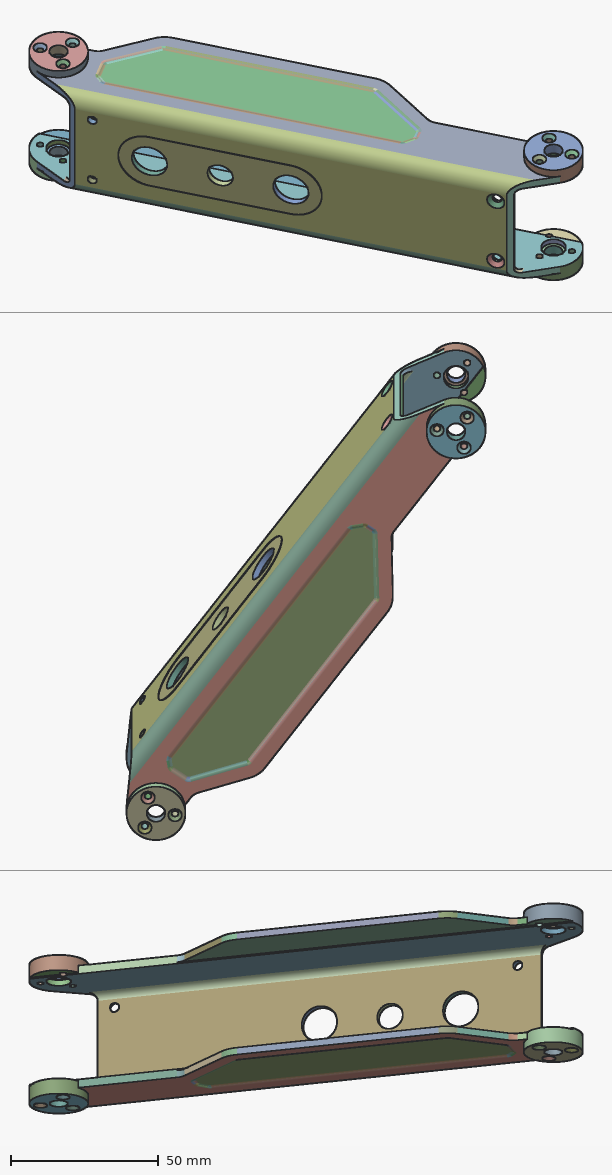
import cadquery as cq
import math

flange_top = 22.0
flange_thickness = 3.0
gusset_thickness = 2.5
web_thickness = 2.5
bend_radius = 5.0
inner_bend_radius = bend_radius - web_thickness
web_face_y = -18.0
rear_edge_y = 21.0

pivot_x = 87.5
boss_radius = 10.0
boss_top = 25.0
boss_thickness = 6.0
pivot_hole_diameter = 6.2
bearing_seat_diameter = 8.4
bearing_seat_depth = 2.0
screw_circle_radius = 6.5
screw_count = 3
screw_hole_diameter = 2.2
screw_head_diameter = 4.6
countersink_angle = 90.0
end_x = pivot_x + boss_radius

end_slant = math.radians(30.0)
gusset_center_x = -17.65
gusset_half_length = 39.05
gusset_slope = 0.75
left_shoulder_y = 7.0
right_shoulder_y = 5.3
gusset_corner_radius = 10.0
shoulder_radius = 5.0

notch_x = 78.5

panel_depth = 0.5
panel_rim_width = 1.8
panel_wall_taper = 60.0
panel_blend_radius = 1.7
panel_corner_radius = 2.5
panel_rear_y = 16.3
panel_front_y = -8.4
panel_half_rear_length = 37.6
panel_left_x = -73.1
panel_right_x = 40.9
panel_left_bevel = 3.2
panel_right_bevel = 4.1

port_spacing = 25.0
port_center_x = -25.0
outer_port_diameter = 12.5
middle_port_diameter = 9.0
port_recess_width = 22.0
port_recess_depth = 0.2
mount_hole_z = 13.5
mount_hole_diameter = 3.2
mount_head_diameter = 6.2
plain_mount_x = -70.2
countersunk_mount_x = 72.5


def block(x_range, y_range, half_height):
    """Box over the given X and Y ranges, centred on Z = 0."""
    x_start, x_end = x_range
    y_start, y_end = y_range
    return (
        cq.Workplane("XY")
        .box(x_end - x_start, y_end - y_start, 2 * half_height, centered=(False, False, True))
        .translate((x_start, y_start, 0))
    )


def channel():
    """Straight U channel, open towards +Y."""
    whole_length = (-end_x, end_x)
    outer = block(whole_length, (web_face_y, rear_edge_y), flange_top)
    outer = outer.edges("|X and <Y").fillet(bend_radius)
    inner = block(
        whole_length, (web_face_y + web_thickness, rear_edge_y), flange_top - flange_thickness
    )
    inner = inner.edges("|X and <Y").fillet(inner_bend_radius)
    return outer.cut(inner)


def gusset_gap():
    """Block that leaves the flanges and bosses thinner behind the flange strips."""
    return block((-end_x, end_x), (right_shoulder_y, rear_edge_y), flange_top - gusset_thickness)


def flange_outline():
    """Plan shape of the flanges as a prism: gusset, slanted web ends, and ends under the bosses.

    The slanted ends run on as tangents of the bosses, which give the flanges their round ends.
    """
    tangent_x = pivot_x + boss_radius * math.sin(end_slant)
    tangent_y = -boss_radius * math.cos(end_slant)
    web_end_x = tangent_x - (tangent_y - web_face_y) / math.tan(end_slant)
    left_corner_x = gusset_center_x - gusset_half_length
    right_corner_x = gusset_center_x + gusset_half_length
    left_foot = (left_corner_x - (rear_edge_y - left_shoulder_y) / gusset_slope, left_shoulder_y)
    right_foot = (right_corner_x + (rear_edge_y - right_shoulder_y) / gusset_slope, right_shoulder_y)
    prism = (
        cq.Workplane("XY")
        .moveTo(-web_end_x, web_face_y)
        .lineTo(web_end_x, web_face_y)
        .lineTo(tangent_x, tangent_y)
        .lineTo(pivot_x, 0)
        .lineTo(pivot_x, right_shoulder_y)
        .lineTo(*right_foot)
        .lineTo(right_corner_x, rear_edge_y)
        .lineTo(left_corner_x, rear_edge_y)
        .lineTo(*left_foot)
        .lineTo(-pivot_x, left_shoulder_y)
        .lineTo(-pivot_x, 0)
        .lineTo(-tangent_x, tangent_y)
        .close()
        .extrude(flange_top, both=True)
    )
    prism = prism.edges("|Z and >Y").fillet(gusset_corner_radius)
    for foot in (left_foot, right_foot):
        foot_edge = cq.selectors.NearestToPointSelector((*foot, 0))
        prism = prism.edges(foot_edge).fillet(shoulder_radius)
    return prism


def end_notches():
    """Blocks that square off both web ends between the flanges."""
    right = block((notch_x, end_x), (web_face_y, rear_edge_y), flange_top - flange_thickness)
    right = right.edges("|Y and <X").fillet(inner_bend_radius)
    return right.union(right.mirror("YZ"))


def at_both_pivots():
    """Workplane on the boss tops with a point on each pivot axis."""
    return cq.Workplane("XY", origin=(0, 0, boss_top)).pushPoints([(-pivot_x, 0), (pivot_x, 0)])


def screw_positions():
    """Screw points around both pivots, one of each set on the outer side of the boss."""
    points = []
    for side in (-1, 1):
        for index in range(screw_count):
            angle = 2 * math.pi * index / screw_count
            x = side * (pivot_x + screw_circle_radius * math.cos(angle))
            points.append((x, screw_circle_radius * math.sin(angle)))
    return points


def add_bosses(part):
    """Pivot discs with a pivot hole, an inner bearing seat and a ring of countersunk screw holes."""
    part = part.union(at_both_pivots().circle(boss_radius).extrude(-boss_thickness))
    part = part.cut(gusset_gap())
    part = part.cut(at_both_pivots().circle(pivot_hole_diameter / 2).extrude(-boss_thickness))
    bearing_seats = at_both_pivots().circle(bearing_seat_diameter / 2).extrude(-boss_thickness)
    seat_floor = boss_thickness - bearing_seat_depth
    part = part.cut(bearing_seats.cut(at_both_pivots().circle(boss_radius).extrude(-seat_floor)))
    return (
        part.faces(">Z")
        .workplane(origin=(0, 0, boss_top))
        .pushPoints(screw_positions())
        .cskHole(screw_hole_diameter, screw_head_diameter, countersink_angle, depth=boss_thickness)
    )


def panel_corners():
    """Corners of the panel rim; its slanted sides run parallel to the gusset slopes."""
    rear_left_x = gusset_center_x - panel_half_rear_length
    rear_right_x = gusset_center_x + panel_half_rear_length
    return [
        (rear_left_x, panel_rear_y),
        (rear_right_x, panel_rear_y),
        (panel_right_x, panel_rear_y - (panel_right_x - rear_right_x) * gusset_slope),
        (panel_right_x, panel_front_y + panel_right_bevel),
        (panel_right_x - panel_right_bevel, panel_front_y),
        (panel_left_x + panel_left_bevel, panel_front_y),
        (panel_left_x, panel_front_y + panel_left_bevel),
        (panel_left_x, panel_rear_y - (rear_left_x - panel_left_x) * gusset_slope),
    ]


def sink_panel(part):
    """Shallow panel in the top flange whose sloping wall blends into floor and flange."""
    wall_width = panel_depth * math.tan(math.radians(panel_wall_taper))
    blend_width = (panel_rim_width - wall_width) / 2
    rim = (
        cq.Workplane("XY", origin=(0, 0, flange_top))
        .polyline(panel_corners())
        .close()
        .extrude(-panel_depth)
        .edges("|Z")
        .fillet(panel_corner_radius)
        .faces(">Z")
        .wires()
        .toPending()
    )
    cutter = rim.offset2D(-blend_width).extrude(-panel_depth, combine=False, taper=panel_wall_taper)
    part = part.cut(cutter)
    floor_point = (gusset_center_x, 0, flange_top - panel_depth)
    floor = part.faces(cq.selectors.NearestToPointSelector(floor_point))
    part = floor.edges().fillet(panel_blend_radius)
    rim_edges = part.faces(">Z").val().innerWires()[0].Edges()
    return part.newObject(rim_edges).fillet(panel_blend_radius)


def mirror_top_to_bottom(part):
    """Replaces the lower half by the mirror image of the upper half."""
    upper_half = part.intersect(
        cq.Workplane("XY").box(2 * end_x, 2 * end_x, boss_top, centered=(True, True, False))
    )
    return upper_half.union(upper_half.mirror("XY"))


def on_web_face():
    """Workplane on the outer web face: local x is X, local y is Z, normal is -Y."""
    return cq.Workplane("XZ", origin=(0, web_face_y, 0))


def cut_ports(part):
    """Row of three round ports inside a shallow recess with round ends."""
    recess = (
        on_web_face()
        .center(port_center_x, 0)
        .slot2D(2 * port_spacing + port_recess_width, port_recess_width)
        .extrude(-port_recess_depth)
    )
    outer_ports = (
        on_web_face()
        .pushPoints([(port_center_x - port_spacing, 0), (port_center_x + port_spacing, 0)])
        .circle(outer_port_diameter / 2)
        .extrude(-web_thickness)
    )
    middle_port = (
        on_web_face()
        .center(port_center_x, 0)
        .circle(middle_port_diameter / 2)
        .extrude(-web_thickness)
    )
    return part.cut(recess).cut(outer_ports).cut(middle_port)


def cut_mount_holes(part):
    """Two plain holes at the left end of the web and two countersunk ones at the right."""
    head_depth = (mount_head_diameter - mount_hole_diameter) / 2
    for z in (-mount_hole_z, mount_hole_z):
        for x in (plain_mount_x, countersunk_mount_x):
            hole = on_web_face().center(x, z).circle(mount_hole_diameter / 2).extrude(-web_thickness)
            part = part.cut(hole)
        axis_start = cq.Vector(countersunk_mount_x, web_face_y, z)
        head = cq.Solid.makeCone(
            mount_head_diameter / 2, mount_hole_diameter / 2, head_depth, axis_start, cq.Vector(0, 1, 0)
        )
        part = part.cut(cq.Workplane(head))
    return part


result = channel().intersect(flange_outline()).cut(end_notches())
result = sink_panel(result)
result = add_bosses(result)
result = mirror_top_to_bottom(result)
result = cut_ports(result)
result = cut_mount_holes(result)